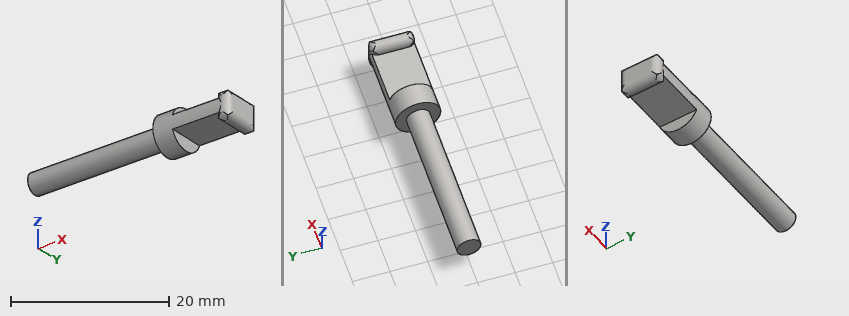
import cadquery as cq

total_length = 33.02
shaft_length = 21.0
shaft_diameter = 3.17
collar_length = 3.0
collar_diameter = 6.0
blade_thickness = 2.08

head_length = blade_thickness
head_height = 2 * blade_thickness
head_width = collar_diameter
edge_radius = head_length / 2

collar_end = shaft_length + collar_length
head_center = total_length - head_length / 2


def rod(start, end, diameter):
    """Cylinder along X between two stations."""
    return cq.Workplane("YZ", origin=(start, 0, 0)).circle(diameter / 2).extrude(end - start)


def make_blade():
    """Extension of the collar with flats above and below, running into the head."""
    length = head_center - shaft_length
    slab = cq.Workplane("XY").box(length, collar_diameter, blade_thickness)
    slab = slab.translate((shaft_length + length / 2, 0, 0))
    return rod(shaft_length, head_center, collar_diameter).intersect(slab)


def make_head():
    """Crossbar common to three rounded profiles, one along each axis."""
    side_profile = cq.Workplane("XZ").slot2D(head_height, head_length, 90).extrude(head_width / 2, both=True)
    top_profile = cq.Workplane("XY").slot2D(head_width, head_length, 90).extrude(head_height / 2, both=True)
    end_profile = cq.Workplane("XY").box(head_length, head_width, head_height).edges("|X").fillet(edge_radius)
    head = side_profile.intersect(top_profile).intersect(end_profile)
    return head.translate((head_center, 0, 0))


shaft = rod(0, shaft_length, shaft_diameter)
collar = rod(shaft_length, collar_end, collar_diameter)
result = shaft.union(collar).union(make_blade()).union(make_head())